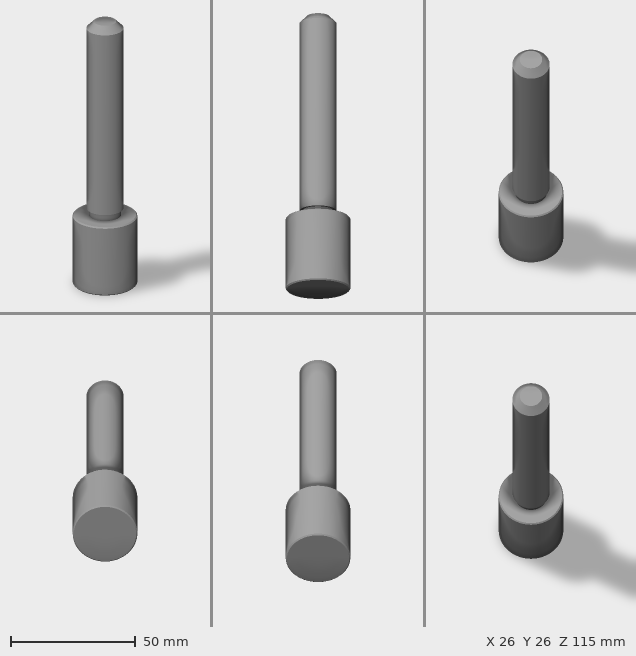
import cadquery as cq

total_length = 115.0
head_diameter = 26.0
head_length = 30.0
head_chamfer = 0.5
neck_diameter = 13.0
neck_length = 3.0
shank_diameter = 15.0
tip_chamfer = 3.0

shank_start = head_length + neck_length
shank_length = total_length - shank_start


def cylinder(diameter, length, base_height):
    """Upright cylinder on the Z axis with its base at the given height."""
    return cq.Workplane("XY").workplane(offset=base_height).circle(diameter / 2).extrude(length)


head = cylinder(head_diameter, head_length, 0).edges("%CIRCLE").chamfer(head_chamfer)

neck = cylinder(neck_diameter, neck_length, head_length)

shank = cylinder(shank_diameter, shank_length, shank_start).faces(">Z").edges().chamfer(tip_chamfer)

result = head.union(neck).union(shank)